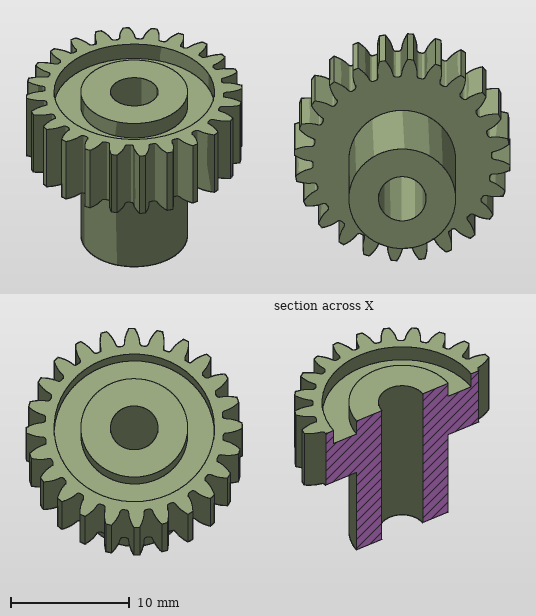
import cadquery as cq
import math

overall_width = 18.1
overall_height = 15.0
gear_height = 6.01
hub_diameter = 9.0
bore_diameter = 4.0
recess_diameter = 13.5
recess_depth = 1.5

tooth_count = 24
pressure_angle = math.radians(20)
addendum_factor = 1.0
dedendum_factor = 1.25
root_fillet_factor = 0.38
involute_start_pressure = math.radians(10)
flank_point_count = 6


def involute(angle):
    """Polar angle swept by an involute at the given pressure angle."""
    return math.tan(angle) - angle


def half_tooth_angle(pressure):
    """Half the angle covered by a tooth where the flank has this pressure angle."""
    return math.pi / (2 * tooth_count) + involute(pressure_angle) - involute(pressure)


def polar(radius, angle):
    return (radius * math.cos(angle), radius * math.sin(angle))


tooth_pitch = 2 * math.pi / tooth_count
tip_ratio = 1 + 2 * addendum_factor / tooth_count
tip_pressure = math.acos(math.cos(pressure_angle) / tip_ratio)
tip_half_angle = half_tooth_angle(tip_pressure)
tip_radius = overall_width / 2 / math.cos(tooth_pitch / 2 - tip_half_angle)

pitch_radius = tip_radius / tip_ratio
module = 2 * pitch_radius / tooth_count
base_radius = pitch_radius * math.cos(pressure_angle)
root_radius = pitch_radius - dedendum_factor * module

root_fillet = root_fillet_factor * module
lower_flank_half_angle = half_tooth_angle(involute_start_pressure) - involute_start_pressure
lower_flank_offset = base_radius * math.tan(involute_start_pressure)
fillet_center_radius = root_radius + root_fillet
fillet_turn = math.asin((lower_flank_offset + root_fillet) / fillet_center_radius)
fillet_top_height = fillet_center_radius * math.cos(fillet_turn)
fillet_top_radius = math.hypot(fillet_top_height, lower_flank_offset)

fillet_top_angle = lower_flank_half_angle + math.atan(lower_flank_offset / fillet_top_height)
fillet_root_angle = lower_flank_half_angle + fillet_turn


def flank_points(center_angle, side):
    """Involute points from its low end to the tip; side is -1 or 1 about the tooth center."""
    first_roll = math.tan(involute_start_pressure)
    last_roll = math.tan(tip_pressure)
    points = []
    for step in range(flank_point_count):
        roll = first_roll + (last_roll - first_roll) * step / (flank_point_count - 1)
        pressure = math.atan(roll)
        radius = base_radius / math.cos(pressure)
        points.append(polar(radius, center_angle + side * half_tooth_angle(pressure)))
    return points


def flank_tangent(center_angle, side, pressure):
    """Unit vector along the involute, pointing from root to tip."""
    return polar(1, center_angle + side * (half_tooth_angle(pressure) - pressure))


def root_fillet_points(center_angle, side):
    """Start, middle and end of a root fillet, going from root circle to flank."""
    root_angle = center_angle + side * fillet_root_angle
    center_x, center_y = polar(fillet_center_radius, root_angle)
    half_turn = (math.pi / 2 - fillet_turn) / 2
    middle_x, middle_y = polar(root_fillet, root_angle + math.pi + side * half_turn)
    start = polar(root_radius, root_angle)
    middle = (center_x + middle_x, center_y + middle_y)
    end = polar(fillet_top_radius, center_angle + side * fillet_top_angle)
    return start, middle, end


def add_tooth(outline, center_angle):
    """Continue the outline over one tooth and along the root to the next one."""
    _, middle, end = root_fillet_points(center_angle, -1)
    outline = outline.threePointArc(middle, end)

    rising = flank_points(center_angle, -1)
    rising_tangents = [
        flank_tangent(center_angle, -1, involute_start_pressure),
        flank_tangent(center_angle, -1, tip_pressure),
    ]
    outline = outline.spline(rising, tangents=rising_tangents, includeCurrent=True)

    start, middle, end = root_fillet_points(center_angle, 1)
    falling = flank_points(center_angle, 1)[::-1]
    tip_x, tip_y = flank_tangent(center_angle, 1, tip_pressure)
    low_x, low_y = flank_tangent(center_angle, 1, involute_start_pressure)
    falling_tangents = [(-tip_x, -tip_y), (-low_x, -low_y)]
    outline = outline.threePointArc(polar(tip_radius, center_angle), falling[0])
    outline = outline.spline(falling[1:] + [end], tangents=falling_tangents, includeCurrent=True)

    outline = outline.threePointArc(middle, start)

    gap_middle = polar(root_radius, center_angle + tooth_pitch / 2)
    next_tooth_start, _, _ = root_fillet_points(center_angle + tooth_pitch, -1)
    return outline.threePointArc(gap_middle, next_tooth_start)


def make_gear():
    """Toothed rim at the top of the part."""
    first_tooth = tooth_pitch / 2
    outline = cq.Workplane("XY").workplane(offset=overall_height - gear_height)
    outline = outline.moveTo(*root_fillet_points(first_tooth, -1)[0])
    for index in range(tooth_count):
        outline = add_tooth(outline, first_tooth + index * tooth_pitch)
    return outline.close().extrude(gear_height)


def make_recess():
    """Ring-shaped pocket in the top face, around the hub."""
    floor = cq.Workplane("XY").workplane(offset=overall_height - recess_depth)
    return floor.circle(recess_diameter / 2).circle(hub_diameter / 2).extrude(recess_depth)


hub = cq.Workplane("XY").circle(hub_diameter / 2).extrude(overall_height)
bore = cq.Workplane("XY").circle(bore_diameter / 2).extrude(overall_height)

result = make_gear().cut(make_recess()).union(hub).cut(bore)